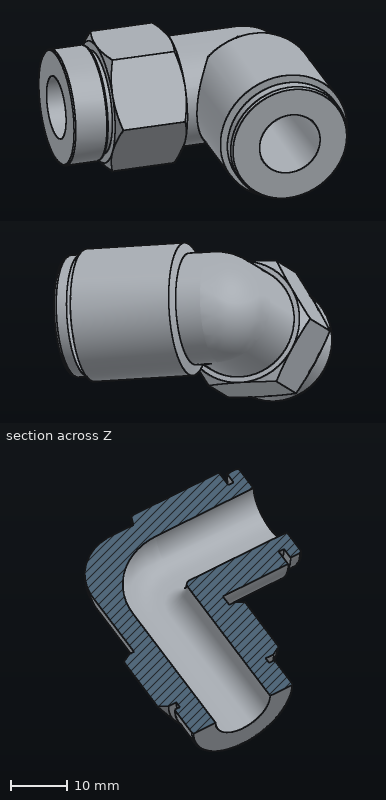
import cadquery as cq
import math

tube_radius = 10.0
bore_radius = 5.67
bore_bend_radius = 6.75

outlet_length = 27.1
body_diameter = 23.8
body_radius = body_diameter / 2
body_start = 4.55
body_taper = 0.7
body_end = 23.65
outlet_neck_radius = 8.68
collar_radius = 10.95
collar_width = 2.45
collar_chamfer_length = 0.5
collar_chamfer_depth = 0.3

overall_length = 46.9
inlet_length = overall_length - body_radius
hex_flats = 22.0
hex_start = 13.98
hex_width = 13.55
hex_end = hex_start + hex_width
hex_chamfer_angle = 30
inlet_neck_radius = 9.4
spigot_radius = 10.5
spigot_width = 6.4
spigot_chamfer_length = 0.3
spigot_chamfer_depth = 0.2


def revolve_about_x(points):
    """Solid of revolution about X from (station, radius) points."""
    return cq.Workplane("XY").polyline(points).close().revolve(360, (0, 0, 0), (1, 0, 0))


def revolve_about_y(points):
    """Solid of revolution about Y from (radius, station) points, stations toward -Y."""
    profile = [(radius, -station) for radius, station in points]
    return cq.Workplane("XY").polyline(profile).close().revolve(360, (0, 0, 0), (0, 1, 0))


def make_outlet():
    """Tube stub, tapered body, neck and chamfered release collar."""
    collar_start = outlet_length - collar_width
    return revolve_about_x([
        (0, 0),
        (0, tube_radius),
        (body_start, tube_radius),
        (body_start + body_taper, body_radius),
        (body_end, body_radius),
        (body_end, outlet_neck_radius),
        (collar_start, outlet_neck_radius),
        (collar_start, collar_radius),
        (outlet_length - collar_chamfer_length, collar_radius),
        (outlet_length, collar_radius - collar_chamfer_depth),
        (outlet_length, 0),
    ])


def make_hex():
    """Hexagon with corners on +X and -X, both ends turned to a cone."""
    corner_diameter = hex_flats / math.cos(math.pi / 6)
    face_radius = hex_flats / 2
    corner_radius = corner_diameter / 2
    chamfer_length = (corner_radius - face_radius) * math.tan(math.radians(hex_chamfer_angle))
    prism = (
        cq.Workplane("XZ", origin=(0, -hex_start, 0))
        .polygon(6, corner_diameter)
        .extrude(hex_width)
    )
    turned_envelope = revolve_about_y([
        (0, hex_start),
        (face_radius, hex_start),
        (corner_radius, hex_start + chamfer_length),
        (corner_radius, hex_end - chamfer_length),
        (face_radius, hex_end),
        (0, hex_end),
    ])
    return prism.intersect(turned_envelope)


def make_spigot():
    """Neck below the hexagon and the spigot with both rims chamfered."""
    spigot_start = inlet_length - spigot_width
    rim_radius = spigot_radius - spigot_chamfer_depth
    return revolve_about_y([
        (0, hex_end),
        (inlet_neck_radius, hex_end),
        (inlet_neck_radius, spigot_start),
        (rim_radius, spigot_start),
        (spigot_radius, spigot_start + spigot_chamfer_length),
        (spigot_radius, inlet_length - spigot_chamfer_length),
        (rim_radius, inlet_length),
        (0, inlet_length),
    ])


def make_bore():
    """Passage of constant radius, open at both ends and curving between the two axes."""
    path = (
        cq.Workplane("XY")
        .moveTo(0, -inlet_length)
        .lineTo(0, -bore_bend_radius)
        .radiusArc((bore_bend_radius, 0), bore_bend_radius)
        .lineTo(outlet_length, 0)
    )
    return cq.Workplane("XZ", origin=(0, -inlet_length, 0)).circle(bore_radius).sweep(path)


inlet_tube = cq.Workplane("XZ").circle(tube_radius).extrude(hex_start)
elbow = cq.Workplane("XY").sphere(tube_radius).union(inlet_tube)
result = elbow.union(make_outlet()).union(make_hex()).union(make_spigot()).cut(make_bore())